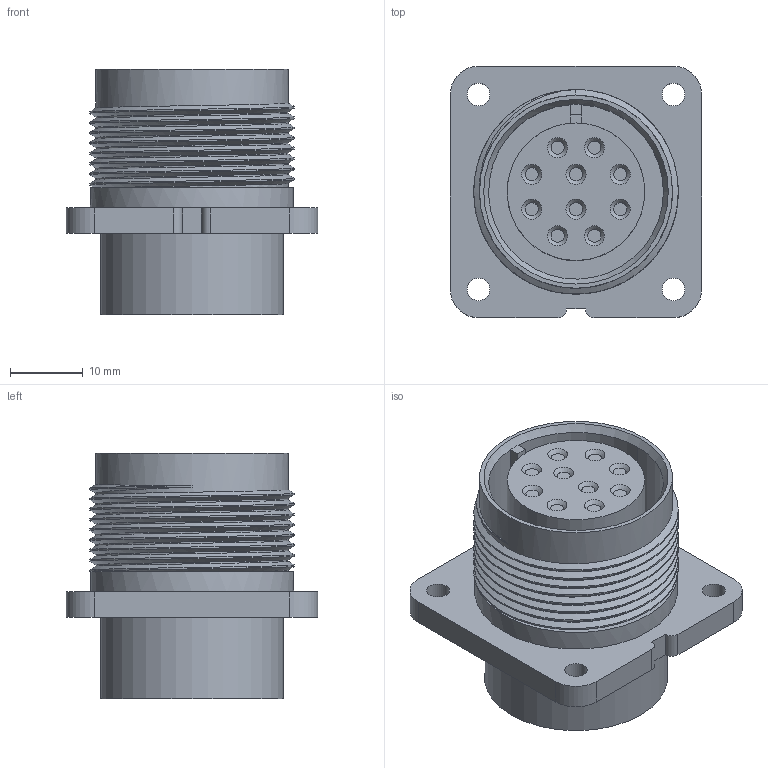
import math

import cadquery as cq

FLANGE_SIZE = 34.67
FLANGE_CORNER_RADIUS = 3.9
FLANGE_THICKNESS = 3.45
HOLE_DIAMETER = 3.1
HOLE_SPACING = FLANGE_SIZE - 2 * FLANGE_CORNER_RADIUS
NOTCH_WIDTH = 2.6
NOTCH_DEPTH = 1.25

TOTAL_HEIGHT = 33.91
REAR_RADIUS = 12.6
REAR_LENGTH = 11.3
FLANGE_TOP = REAR_LENGTH + FLANGE_THICKNESS
COLLAR_RADIUS = 14.0
COLLAR_LENGTH = 2.8
COLLAR_TOP = FLANGE_TOP + COLLAR_LENGTH
BARREL_RADIUS = 13.3

THREAD_RADIUS = 14.1
THREAD_DEPTH = THREAD_RADIUS - BARREL_RADIUS
THREAD_PITCH = 1.411
THREAD_TURNS = 8
THREAD_START_RISE = 0.13
THREAD_START = COLLAR_TOP + THREAD_START_RISE
THREAD_ROOT_WIDTH = 1.2
THREAD_CREST_WIDTH = 0.2
THREAD_EMBED = 0.15
RUNOUT_TURN = 0.25
RUNOUT_STEPS = 6
START_ANGLE = 90

SOCKET_RADIUS = 12.05
SOCKET_FLOOR = FLANGE_TOP
MOUTH_RADIUS = 12.73
MOUTH_DEPTH = 1.0
INSERT_RADIUS = 9.48
INSERT_SETBACK = 0.5
INSERT_TOP = TOTAL_HEIGHT - INSERT_SETBACK

KEY_WIDTH = 1.54
KEY_INNER_Y = 10.6
KEY_TOP = TOTAL_HEIGHT - MOUTH_DEPTH
KEY_STEP_DROP = 5.0
KEY_STEP_TOP = KEY_TOP - KEY_STEP_DROP
KEY_OVERLAP = 0.4

RECESS_RADIUS = 1.38
RECESS_FLOOR_RADIUS = 0.9
RECESS_DEPTH = 0.5
OUTER_ROW_X = 2.54
OUTER_ROW_Y = 6.08
INNER_ROW_X = 6.1
INNER_ROW_Y = 2.4


def cylinder(radius, bottom, top):
    return cq.Workplane("XY").workplane(offset=bottom).circle(radius).extrude(top - bottom)


def cone(bottom_radius, top_radius, bottom, top):
    solid = cq.Solid.makeCone(bottom_radius, top_radius, top - bottom, pnt=cq.Vector(0, 0, bottom))
    return cq.Workplane(solid)


def make_notch():
    """Cutter for the notch in the -Y edge, its mouth flared by two convex quarter rounds."""
    edge_y = -FLANGE_SIZE / 2
    floor_y = edge_y + NOTCH_DEPTH
    half_floor = NOTCH_WIDTH / 2
    half_mouth = half_floor + NOTCH_DEPTH
    sagitta = NOTCH_DEPTH * (1 - math.cos(math.radians(45)))
    mid_x = half_floor + sagitta
    mid_y = edge_y + sagitta
    return (
        cq.Workplane("XY")
        .workplane(offset=REAR_LENGTH)
        .moveTo(-half_floor, floor_y)
        .lineTo(half_floor, floor_y)
        .threePointArc((mid_x, mid_y), (half_mouth, edge_y))
        .lineTo(-half_mouth, edge_y)
        .threePointArc((-mid_x, mid_y), (-half_floor, floor_y))
        .close()
        .extrude(FLANGE_THICKNESS)
    )


def make_flange():
    flange = (
        cq.Workplane("XY")
        .workplane(offset=REAR_LENGTH)
        .rect(FLANGE_SIZE, FLANGE_SIZE)
        .extrude(FLANGE_THICKNESS)
        .edges("|Z")
        .fillet(FLANGE_CORNER_RADIUS)
        .faces(">Z")
        .workplane()
        .rect(HOLE_SPACING, HOLE_SPACING, forConstruction=True)
        .vertices()
        .hole(HOLE_DIAMETER)
    )
    return flange.cut(make_notch())


def make_barrel():
    """Collar and barrel with the open socket."""
    barrel = cylinder(COLLAR_RADIUS, FLANGE_TOP, COLLAR_TOP)
    barrel = barrel.union(cylinder(BARREL_RADIUS, FLANGE_TOP, TOTAL_HEIGHT))
    barrel = barrel.cut(cylinder(SOCKET_RADIUS, SOCKET_FLOOR, TOTAL_HEIGHT))
    return barrel.cut(cone(SOCKET_RADIUS, MOUTH_RADIUS, TOTAL_HEIGHT - MOUTH_DEPTH, TOTAL_HEIGHT))


def thread_section(turn, sink):
    """Corner points of the ridge section after a number of turns, lowered radially by sink."""
    angle = math.radians(START_ANGLE) + 2 * math.pi * turn
    centre_z = THREAD_START + THREAD_PITCH * turn
    crest = THREAD_RADIUS - sink
    root = BARREL_RADIUS - THREAD_EMBED - sink
    flank_slope = (THREAD_ROOT_WIDTH - THREAD_CREST_WIDTH) / 2 / THREAD_DEPTH
    half_crest = THREAD_CREST_WIDTH / 2
    half_root = half_crest + flank_slope * (crest - root)
    corners = [(root, -half_root), (crest, -half_crest), (crest, half_crest), (root, half_root)]
    return [
        cq.Vector(radius * math.cos(angle), radius * math.sin(angle), centre_z + dz)
        for radius, dz in corners
    ]


def make_thread():
    """Full helical turns followed by a lofted run-out that sinks into the barrel."""
    helix = cq.Wire.makeHelix(THREAD_PITCH, THREAD_PITCH * THREAD_TURNS, BARREL_RADIUS)
    helix = helix.rotate(cq.Vector(0, 0, 0), cq.Vector(0, 0, 1), START_ANGLE)
    helix = helix.translate(cq.Vector(0, 0, THREAD_START))
    section = cq.Wire.makePolygon(thread_section(0, 0), close=True)
    ridge = cq.Solid.sweep(section, [], helix, True, True)

    sections = []
    for step in range(RUNOUT_STEPS + 1):
        part = step / RUNOUT_STEPS
        points = thread_section(THREAD_TURNS + RUNOUT_TURN * part, THREAD_DEPTH * part)
        sections.append(cq.Wire.makePolygon(points, close=True))
    runout = cq.Solid.makeLoft(sections)
    return cq.Workplane(ridge).union(cq.Workplane(runout))


def make_key_block(inner_y, top):
    length = SOCKET_RADIUS + KEY_OVERLAP - inner_y
    height = top - SOCKET_FLOOR
    return (
        cq.Workplane("XY")
        .box(KEY_WIDTH, length, height, centered=(True, False, False))
        .translate((0, inner_y, SOCKET_FLOOR))
    )


def make_key():
    upper = make_key_block(KEY_INNER_Y, KEY_TOP)
    return upper.union(make_key_block(INSERT_RADIUS - KEY_OVERLAP, KEY_STEP_TOP))


def make_insert():
    """Contact insert with recesses in four rows sunk into its face."""
    insert = cylinder(INSERT_RADIUS, SOCKET_FLOOR, INSERT_TOP)
    recess = cone(RECESS_FLOOR_RADIUS, RECESS_RADIUS, INSERT_TOP - RECESS_DEPTH, INSERT_TOP)
    for side in (-1, 1):
        for x in (-OUTER_ROW_X, OUTER_ROW_X):
            insert = insert.cut(recess.translate((x, side * OUTER_ROW_Y, 0)))
        for x in (-INNER_ROW_X, 0, INNER_ROW_X):
            insert = insert.cut(recess.translate((x, side * INNER_ROW_Y, 0)))
    return insert


result = cylinder(REAR_RADIUS, 0, REAR_LENGTH).union(make_flange())
result = result.union(make_barrel().union(make_thread()))
result = result.union(make_insert()).union(make_key())